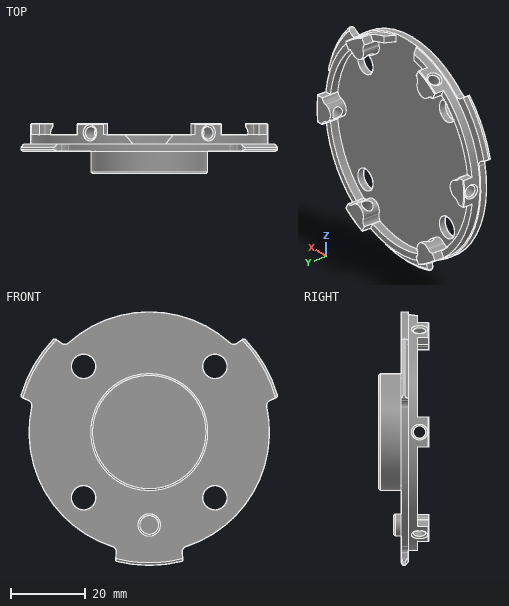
import cadquery as cq
import math


plate_radius = 32.4
plate_thickness = 2.0

tab_radius = 35.9
tab_root_distance = 29.7
tab_root_half_width = 8.6
tab_tip_half_width = 9.25
tab_root_fillet = 1.5
tab_corner_fillet = 0.6
tab_angles = (-90, 30, 150)
tab_front_chamfer_depth = 0.5
tab_front_chamfer_width = 0.7
tab_back_chamfer = 1.0

spigot_diameter = 31.5
spigot_height = 6.0
spigot_chamfer = 0.5
pin_diameter = 6.0
pin_height = 2.0
pin_chamfer = 0.5

pitch_radius = 25.0
bolt_hole_diameter = 6.5
bolt_angles = (45, 135, 225, 315)

ring_outer_radius = 32.0
ring_inner_radius = 30.0
ring_top = 4.5

gap_bottom_half_width = 4.4
gap_top_half_width = 6.5

lug_count = 6
lug_top = 7.45
lug_width = 8.15
lug_chamfer = 0.2
lug_boss_radius = 2.7
lug_boss_center = 28.65
lug_boss_fillet = 2.0
screw_hole_diameter = 3.3
countersink_diameter = 4.35
screw_hole_height = 5.0

clearance = 0.7


def slab(y_start):
    """Sketch plane at y_start; sketch axes are X and Z, and negative extrusion runs toward +Y."""
    return cq.Workplane("XZ", origin=(0, y_start, 0))


def turn(body, angle):
    """Turn a body made on the +X axis by angle, from +X toward +Z."""
    return body.rotate((0, 0, 0), (0, 1, 0), -angle)


def round_plate_edges(plate, inner, outer, radius):
    """Fillet the plate edges along Y whose distance from the axis is between inner and outer."""
    band = slab(0).circle(outer).circle(inner).extrude(-plate_thickness)
    span = band.val()
    edges = [
        edge
        for edge in plate.edges("|Y").vals()
        if span.isInside(edge.Center())
    ]
    return plate.newObject(edges).fillet(radius)


def make_tab():
    """Slightly flaring tab on +X, ending on the tab circle."""
    outline = [
        (tab_root_distance, -tab_root_half_width),
        (tab_radius, -tab_tip_half_width),
        (tab_radius, tab_tip_half_width),
        (tab_root_distance, tab_root_half_width),
    ]
    blade = slab(0).polyline(outline).close().extrude(-plate_thickness)
    return blade.intersect(slab(0).circle(tab_radius).extrude(-plate_thickness))


def make_plate():
    """Round plate with filleted tabs, bevelled on both sides of the tab rim."""
    plate = slab(0).circle(plate_radius).extrude(-plate_thickness)
    plate = turn(plate, tab_angles[0])
    for angle in tab_angles:
        plate = plate.union(turn(make_tab(), angle))
    rim_split = (plate_radius + tab_radius) / 2
    plate = round_plate_edges(plate, plate_radius - clearance, rim_split, tab_root_fillet)
    plate = round_plate_edges(plate, rim_split, tab_radius + clearance, tab_corner_fillet)
    rim_profile = [
        (0, 0),
        (tab_radius - tab_front_chamfer_width, 0),
        (tab_radius, tab_front_chamfer_depth),
        (tab_radius, plate_thickness - tab_back_chamfer),
        (tab_radius - tab_back_chamfer, plate_thickness),
        (0, plate_thickness),
    ]
    envelope = cq.Workplane("XY").polyline(rim_profile).close().revolve(360, (0, 0), (0, 1))
    return plate.intersect(envelope)


def make_spigot():
    return slab(0).circle(spigot_diameter / 2).extrude(spigot_height).faces("<Y").chamfer(spigot_chamfer)


def make_pin():
    pin = slab(0).center(0, -pitch_radius).circle(pin_diameter / 2).extrude(pin_height)
    return pin.faces("<Y").chamfer(pin_chamfer)


def make_ring():
    """Thin backing ring with a gap at +Z."""
    height = ring_top - plate_thickness
    ring = slab(plate_thickness).circle(ring_outer_radius).circle(ring_inner_radius).extrude(-height)
    ring = turn(ring, 90)
    gap_outline = [
        (-gap_bottom_half_width, plate_thickness),
        (gap_bottom_half_width, plate_thickness),
        (gap_top_half_width, ring_top),
        (-gap_top_half_width, ring_top),
    ]
    gap = cq.Workplane("XY").polyline(gap_outline).close().extrude(ring_outer_radius)
    return ring.cut(gap)


def make_lug():
    """Lug on +X: a piece of ring wall with a round boss blended onto its inner face."""
    height = lug_top - plate_thickness
    wall = slab(plate_thickness).circle(ring_outer_radius).circle(ring_inner_radius).extrude(-height)
    wall = wall.faces(">Y").edges(cq.selectors.RadiusNthSelector(-1)).chamfer(lug_chamfer)
    wall = turn(wall, 180)
    boss = slab(plate_thickness).center(lug_boss_center, 0).circle(lug_boss_radius).extrude(-height)
    beside_boss = cq.selectors.BoxSelector(
        (0, plate_thickness, -2 * lug_boss_radius),
        (ring_outer_radius - clearance, lug_top, 2 * lug_boss_radius),
    )
    lug = wall.union(boss).edges("|Y").edges(beside_boss).fillet(lug_boss_fillet)
    strip = slab(plate_thickness).center(ring_outer_radius, 0).rect(2 * lug_width, lug_width).extrude(-height)
    return lug.intersect(strip)


def make_screw_hole():
    """Radial hole on +X with a 45 degree countersink at the outer wall."""
    hole_radius = screw_hole_diameter / 2
    sink_radius = countersink_diameter / 2
    sink_start = ring_outer_radius - (sink_radius - hole_radius)
    sink_end = ring_outer_radius + clearance
    inner_end = lug_boss_center - 2 * lug_boss_radius
    profile = [
        (inner_end, 0),
        (inner_end, hole_radius),
        (sink_start, hole_radius),
        (sink_end, hole_radius + sink_end - sink_start),
        (sink_end, 0),
    ]
    cutter = cq.Workplane("XY").polyline(profile).close().revolve(360, (0, 0), (1, 0))
    return cutter.translate((0, screw_hole_height, 0))


def make_bolt_holes():
    centers = [
        (pitch_radius * math.cos(math.radians(angle)), pitch_radius * math.sin(math.radians(angle)))
        for angle in bolt_angles
    ]
    return slab(0).pushPoints(centers).circle(bolt_hole_diameter / 2).extrude(-plate_thickness)


ring_with_lugs = make_ring()
lug_angles = [index * 360 / lug_count for index in range(lug_count)]
for lug_angle in lug_angles:
    ring_with_lugs = ring_with_lugs.union(turn(make_lug(), lug_angle))
for lug_angle in lug_angles:
    ring_with_lugs = ring_with_lugs.cut(turn(make_screw_hole(), lug_angle))

front = make_plate().union(make_spigot()).union(make_pin())
result = front.union(ring_with_lugs).cut(make_bolt_holes())